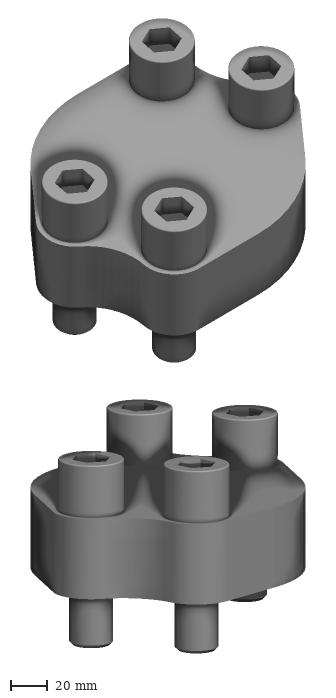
import cadquery as cq
import math

PLATE_THICKNESS = 45.0
SIDE_RADIUS = 75.0
WAIST_RADIUS = 39.0
PLATE_LENGTH = 165.99

BOLT_PITCH_X = 58.7
BOLT_PITCH_Y = 123.8

WASHER_DIAMETER = 35.9
WASHER_THICKNESS = 5.0
HEAD_DIAMETER = 36.0
HEAD_HEIGHT = 24.0
HEAD_FILLET = 0.8
SHANK_DIAMETER = 24.0
SHANK_PROJECTION = 30.0
SHANK_CHAMFER = 1.85
SOCKET_ACROSS_FLATS = 19.0
SOCKET_DEPTH = 12.0
SOCKET_SIDES = 6

BOLT_X = BOLT_PITCH_X / 2
BOLT_Y = BOLT_PITCH_Y / 2
LOBE_RADIUS = PLATE_LENGTH / 2 - BOLT_Y


def polar(radius, angle):
    return radius * math.cos(angle), radius * math.sin(angle)


def mirror_x(point):
    return -point[0], point[1]


def mirror_y(point):
    return point[0], -point[1]


def opposite(point):
    return -point[0], -point[1]


def on_lobe(angle):
    """Point on the lobe arc around the bolt at +X +Y."""
    dx, dy = polar(LOBE_RADIUS, angle)
    return BOLT_X + dx, BOLT_Y + dy


def make_plate():
    bolt_distance = math.hypot(BOLT_X, BOLT_Y)
    bolt_angle = math.atan2(BOLT_Y, BOLT_X)
    flank_angle = bolt_angle - math.acos((SIDE_RADIUS - LOBE_RADIUS) / bolt_distance)
    waist_angle = math.pi - math.acos(BOLT_X / (WAIST_RADIUS + LOBE_RADIUS))
    waist_centre_y = BOLT_Y + math.sqrt((WAIST_RADIUS + LOBE_RADIUS) ** 2 - BOLT_X**2)

    side_end = polar(SIDE_RADIUS, flank_angle)
    lobe_start = on_lobe(flank_angle)
    lobe_middle = on_lobe((flank_angle + waist_angle) / 2)
    lobe_end = on_lobe(waist_angle)
    waist_middle = (0, waist_centre_y - WAIST_RADIUS)

    outline = (
        cq.Workplane("XY")
        .moveTo(*mirror_y(side_end))
        .threePointArc((SIDE_RADIUS, 0), side_end)
        .lineTo(*lobe_start)
        .threePointArc(lobe_middle, lobe_end)
        .threePointArc(waist_middle, mirror_x(lobe_end))
        .threePointArc(mirror_x(lobe_middle), mirror_x(lobe_start))
        .lineTo(*mirror_x(side_end))
        .threePointArc((-SIDE_RADIUS, 0), opposite(side_end))
        .lineTo(*opposite(lobe_start))
        .threePointArc(opposite(lobe_middle), opposite(lobe_end))
        .threePointArc(mirror_y(waist_middle), mirror_y(lobe_end))
        .threePointArc(mirror_y(lobe_middle), mirror_y(lobe_start))
        .close()
    )
    return outline.extrude(PLATE_THICKNESS)


def make_bolt():
    """One bolt with its washer, standing on the Z axis."""
    head_bottom = PLATE_THICKNESS + WASHER_THICKNESS
    head_top = head_bottom + HEAD_HEIGHT
    shank = (
        cq.Workplane("XY", origin=(0, 0, -SHANK_PROJECTION))
        .circle(SHANK_DIAMETER / 2)
        .extrude(SHANK_PROJECTION + head_bottom)
        .faces("<Z")
        .chamfer(SHANK_CHAMFER)
    )
    washer = (
        cq.Workplane("XY", origin=(0, 0, PLATE_THICKNESS))
        .circle(WASHER_DIAMETER / 2)
        .extrude(WASHER_THICKNESS)
    )
    head = (
        cq.Workplane("XY", origin=(0, 0, head_bottom))
        .circle(HEAD_DIAMETER / 2)
        .extrude(HEAD_HEIGHT)
        .faces(">Z")
        .fillet(HEAD_FILLET)
    )
    socket = (
        cq.Workplane("XY", origin=(0, 0, head_top))
        .polygon(SOCKET_SIDES, SOCKET_ACROSS_FLATS, circumscribed=True)
        .extrude(-SOCKET_DEPTH)
    )
    return shank.union(washer).union(head).cut(socket)


result = make_plate()
bolt = make_bolt()
for x in (-BOLT_X, BOLT_X):
    for y in (-BOLT_Y, BOLT_Y):
        result = result.union(bolt.translate((x, y, 0)))